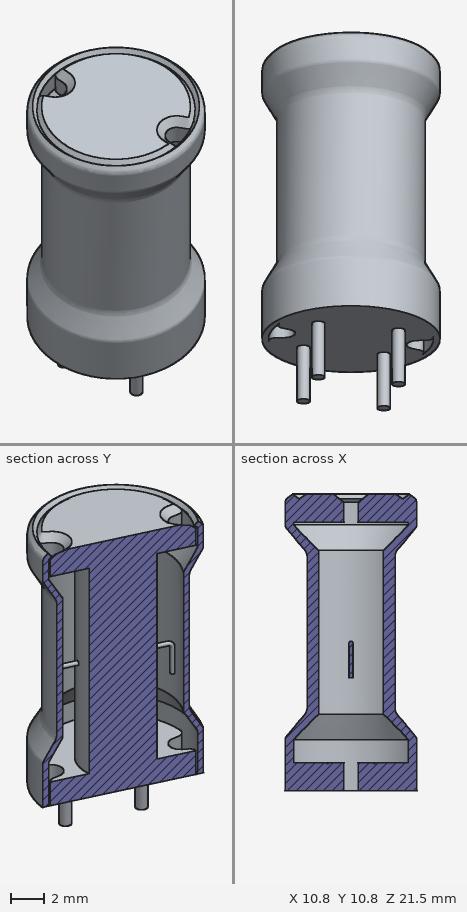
import cadquery as cq
import math


total_height = 21.5
pin_length = 3.5
base_z = pin_length
top_z = total_height

head_radius = 10.8 / 2
waist_radius = 9.0 / 2
top_head_height = 1.98
bottom_head_height = 3.2
taper_angle = math.radians(30)
head_edge_fillet = 0.4
waist_fillet = 0.8

head_bore_radius = 10.0 / 2
wall = head_radius - head_bore_radius
crest_radius = 5.05
lip_radius = 4.8
rim_fillet = 0.4

core_post_radius = 5.0 / 2
flange_thickness = 1.72
core_chamfer = 0.5

notch_centre = 4.2
notch_radius = 0.7
notch_flare = math.radians(15)
notch_mouth_fillet = 0.52

pin_diameter = 0.8
pin_x = 2.5
pin_y = 2.0
wire_diameter = 0.3
lead_x = 3.7
lead_bend_radius = 0.32
lead_drop = 2.15

select_margin = 0.002

taper_height = (head_radius - waist_radius) / math.tan(taper_angle)
upper_head_z = top_z - top_head_height
upper_waist_z = upper_head_z - taper_height
lower_head_z = base_z + bottom_head_height
lower_waist_z = lower_head_z + taper_height


def ring_edges(solid, radius, z):
    """Select the circular edge of the given radius centred on the axis at height z."""
    reach = radius + select_margin
    low_corner = (-reach, -reach, z - select_margin)
    high_corner = (reach, reach, z + select_margin)
    box = cq.selectors.BoxSelector(low_corner, high_corner, boundingbox=True)
    return solid.edges(box)


def make_sleeve_outside():
    """Solid shape of the waisted sleeve, with rounded corners and a chamfered rim."""
    rim_chamfer = head_radius - crest_radius
    solid = (
        cq.Workplane("XZ")
        .moveTo(0, base_z)
        .lineTo(head_radius, base_z)
        .lineTo(head_radius, lower_head_z)
        .lineTo(waist_radius, lower_waist_z)
        .lineTo(waist_radius, upper_waist_z)
        .lineTo(head_radius, upper_head_z)
        .lineTo(head_radius, top_z - rim_chamfer)
        .lineTo(crest_radius, top_z)
        .lineTo(0, top_z)
        .close()
        .revolve(360, (0, 0, 0), (0, 1, 0))
    )
    rounded_rings = [
        (head_radius, lower_head_z, head_edge_fillet),
        (waist_radius, lower_waist_z, waist_fillet),
        (waist_radius, upper_waist_z, waist_fillet),
        (head_radius, upper_head_z, head_edge_fillet),
        (head_radius, top_z - rim_chamfer, rim_fillet),
    ]
    for radius, z, fillet in rounded_rings:
        solid = ring_edges(solid, radius, z).fillet(fillet)
    return solid


def make_sleeve():
    """Sleeve with a wall of even thickness and a lip over the core chamfer."""
    waist_bore_radius = waist_radius - wall
    corner_shift = wall * math.tan(taper_angle / 2)
    lip_depth = core_chamfer - (head_bore_radius - lip_radius)
    bore = (
        cq.Workplane("XZ")
        .moveTo(0, base_z)
        .lineTo(head_bore_radius, base_z)
        .lineTo(head_bore_radius, lower_head_z - corner_shift)
        .lineTo(waist_bore_radius, lower_waist_z - corner_shift)
        .lineTo(waist_bore_radius, upper_waist_z + corner_shift)
        .lineTo(head_bore_radius, upper_head_z + corner_shift)
        .lineTo(head_bore_radius, top_z - core_chamfer)
        .lineTo(lip_radius, top_z - lip_depth)
        .lineTo(crest_radius, top_z)
        .lineTo(0, top_z)
        .close()
        .revolve(360, (0, 0, 0), (0, 1, 0))
    )
    return make_sleeve_outside().cut(bore)


def make_notch():
    """Round-ended notch on the +X side whose flanks open outward, one flange deep."""
    tangent_x = notch_centre - notch_radius * math.sin(notch_flare)
    tangent_y = notch_radius * math.cos(notch_flare)
    mouth_x = head_radius
    mouth_y = tangent_y + (mouth_x - tangent_x) * math.tan(notch_flare)
    return (
        cq.Workplane("XY")
        .moveTo(mouth_x, mouth_y)
        .lineTo(tangent_x, tangent_y)
        .threePointArc((notch_centre - notch_radius, 0), (tangent_x, -tangent_y))
        .lineTo(mouth_x, -mouth_y)
        .close()
        .extrude(flange_thickness)
    )


def make_flange():
    """Core flange on z = 0 with two notches and rounded notch mouths."""
    flange = cq.Workplane("XY").circle(head_bore_radius).extrude(flange_thickness)
    notch = make_notch()
    for turn in (0, 180):
        flange = flange.cut(notch.rotate((0, 0, 0), (0, 0, 1), turn))
    inner_zone = cq.selectors.BoxSelector(
        (-notch_centre, -head_radius, 0), (notch_centre, head_radius, flange_thickness)
    )
    mouths = flange.edges("|Z").edges(cq.selectors.InverseSelector(inner_zone))
    return mouths.fillet(notch_mouth_fillet)


def make_core():
    """Drum core: a post between two flanges, the upper one chamfered along its whole outline."""
    post = cq.Workplane("XY", origin=(0, 0, base_z)).circle(core_post_radius).extrude(top_z - base_z)
    flange = make_flange()
    lower_flange = flange.translate((0, 0, base_z))
    upper_flange = flange.faces(">Z").chamfer(core_chamfer).translate((0, 0, top_z - flange_thickness))
    return post.union(lower_flange).union(upper_flange)


def make_lead():
    """Wire leaving the core post on the +X side and bending down."""
    start_z = (base_z + top_z) / 2
    bend_x = lead_x - lead_bend_radius
    path = (
        cq.Workplane("XZ")
        .moveTo(0, start_z)
        .lineTo(bend_x, start_z)
        .tangentArcPoint((lead_x, start_z - lead_bend_radius), relative=False)
        .lineTo(lead_x, start_z - lead_drop)
    )
    return cq.Workplane("YZ", origin=(0, 0, start_z)).circle(wire_diameter / 2).sweep(path)


def make_pins():
    """Four round pins below the base."""
    pin_centres = [(x, y) for x in (-pin_x, pin_x) for y in (-pin_y, pin_y)]
    return cq.Workplane("XY").pushPoints(pin_centres).circle(pin_diameter / 2).extrude(pin_length)


result = make_sleeve().union(make_core()).union(make_pins())
lead = make_lead()
for turn in (0, 180):
    result = result.union(lead.rotate((0, 0, 0), (0, 0, 1), turn))